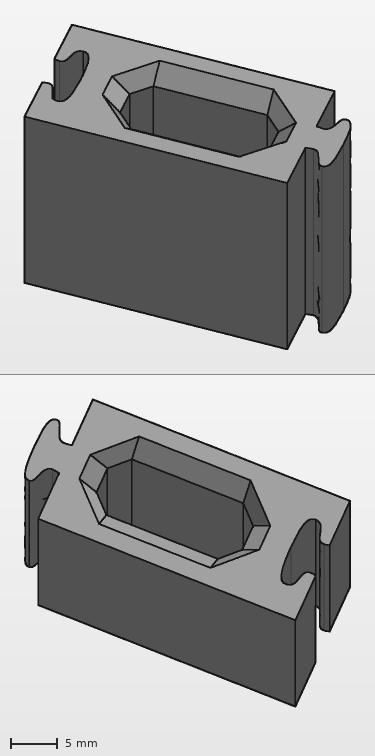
import cadquery as cq

BODY_LENGTH = 30.0
BODY_WIDTH = 15.0
HEIGHT = 25.0

OPENING_LENGTH = 17.0
OPENING_WIDTH = 7.0
OPENING_CORNER = 2.0
FLARE_INSET = 2.0
FLARE_DEPTH = 2.0
OPENING_END_WALL = 2.25
MOUTH_LENGTH = OPENING_LENGTH + 2 * FLARE_INSET
MOUTH_WIDTH = OPENING_WIDTH + 2 * FLARE_INSET
MOUTH_CORNER = OPENING_CORNER + FLARE_INSET
OPENING_X = BODY_LENGTH - OPENING_END_WALL - MOUTH_LENGTH / 2

TONGUE = dict(
    reach=3.67, root_half=1.77,
    waist_x=0.85, waist_half=1.65,
    tip_x=2.62, tip_half=3.82,
    waist_pull=1.18, tip_pull=0.85, back_pull=3.0,
)
GROOVE = dict(
    reach=3.75, root_half=1.94,
    waist_x=0.64, waist_half=1.80,
    tip_x=2.56, tip_half=4.05,
    waist_pull=1.25, tip_pull=1.45, back_pull=3.0,
)

LOBE_ROUNDNESS = 0.7


def octagon(length, width, corner, z):
    """Wire of a rectangle with equal 45 degree corners, centred on the opening."""
    half_l = length / 2
    half_w = width / 2
    quarter = [(half_l, half_w - corner), (half_l - corner, half_w)]
    points = quarter + [(-x, y) for x, y in reversed(quarter)]
    points += [(-x, -y) for x, y in points]
    outline = cq.Workplane("XY", origin=(OPENING_X, 0, z)).polyline(points).close()
    return outline.val()


def make_opening():
    """Straight octagonal hole plus the flared mouth above it."""
    neck_z = HEIGHT - FLARE_DEPTH
    bottom = octagon(OPENING_LENGTH, OPENING_WIDTH, OPENING_CORNER, 0)
    neck = octagon(OPENING_LENGTH, OPENING_WIDTH, OPENING_CORNER, neck_z)
    mouth = octagon(MOUTH_LENGTH, MOUTH_WIDTH, MOUTH_CORNER, HEIGHT)
    shaft = cq.Solid.makeLoft([bottom, neck], True)
    flare = cq.Solid.makeLoft([neck, mouth], True)
    return cq.Workplane("XY").add(shaft).union(cq.Workplane("XY").add(flare))


def make_key(root_x, reach, root_half, waist_x, waist_half, tip_x, tip_half,
             waist_pull, tip_pull, back_pull):
    """Full-height T-shaped key: a waisted neck that swells into two rounded lobes."""
    lobe_pull = LOBE_ROUNDNESS * (reach - tip_x)
    neck_curve = [(0, root_half), (waist_x / 2, waist_half), (waist_x, waist_half)]
    flank_curve = [
        (waist_x, waist_half),
        (waist_x + waist_pull, waist_half),
        (tip_x - tip_pull, tip_half),
        (tip_x, tip_half),
    ]
    lobe_curve = [(tip_x, tip_half), (tip_x + lobe_pull, tip_half), (reach, back_pull), (reach, 0)]
    half_curves = [neck_curve, flank_curve, lobe_curve]
    mirrored_curves = [[(x, -y) for x, y in reversed(curve)] for curve in reversed(half_curves)]
    outline = cq.Workplane("XY", origin=(root_x, 0, 0)).moveTo(0, root_half)
    for curve in half_curves + mirrored_curves:
        outline = outline.bezier(curve[1:], includeCurrent=True)
    return outline.close().extrude(HEIGHT)


body = cq.Workplane("XY").box(BODY_LENGTH, BODY_WIDTH, HEIGHT, centered=(False, True, False))
tongue = make_key(BODY_LENGTH, **TONGUE)
groove = make_key(0, **GROOVE)
result = body.union(tongue).cut(groove).cut(make_opening())